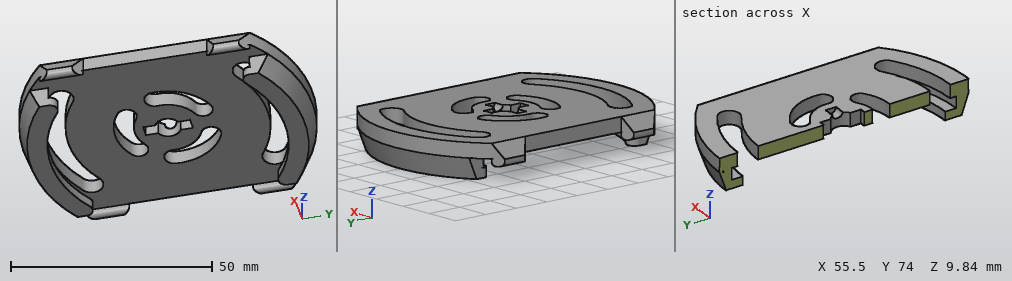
import math

import cadquery as cq

PLATE_RADIUS = 37.0
PLATE_THICKNESS = 4.0
PLATE_HALF_WIDTH = 25.5

TAB_REACH = 27.75
TAB_DROP = 2.0
TAB_INNER_Y = 15.75
TAB_MITRE_LENGTH = 2.2
TAB_THICKNESS = TAB_REACH - PLATE_HALF_WIDTH

WALL_HEIGHT = 5.84
WALL_HALF_WIDTH = 21.1
WALL_BOTTOM_RADIUS = 35.0
WALL_INNER_RADIUS = 33.2
LIP_RADIUS = 30.0
LIP_HEIGHT = 2.6
LIP_CORNER_RADIUS = 2.0

SLOT_HALF_ANGLE = 35.0
END_SLOT_PATH_RADIUS = 28.5
END_SLOT_WIDTH = 6.0
END_SLOT_DIRECTIONS = (90.0, 270.0)
INNER_SLOT_PATH_RADIUS = 11.0
INNER_SLOT_WIDTH = 5.0
INNER_SLOT_DIRECTIONS = (30.0, 150.0, 270.0)

CENTRE_HOLE_RADIUS = 3.25
KEY_LENGTH = 12.0
KEY_WIDTH = 3.0


def polar(radius, angle):
    """Point at a radius and an angle in degrees from +X."""
    return (radius * math.cos(math.radians(angle)), radius * math.sin(math.radians(angle)))


def disc(radius, bottom, height):
    return cq.Workplane("XY").workplane(offset=bottom).circle(radius).extrude(height)


def make_tab():
    """Tab blank at the +X, +Y corner: a sloped, round-ended profile, mitred at its inner end."""
    round_radius = TAB_THICKNESS / 2
    round_z = round_radius - TAB_DROP
    profile = (
        cq.Workplane("XZ", origin=(0, PLATE_RADIUS, 0))
        .moveTo(PLATE_HALF_WIDTH, PLATE_THICKNESS)
        .lineTo(TAB_REACH, 0)
        .lineTo(TAB_REACH, round_z)
        .threePointArc((TAB_REACH - round_radius, -TAB_DROP), (PLATE_HALF_WIDTH, round_z))
        .close()
        .extrude(PLATE_RADIUS - TAB_INNER_Y)
    )
    mitre = (
        cq.Workplane("XY", origin=(0, 0, -TAB_DROP))
        .moveTo(PLATE_HALF_WIDTH, TAB_INNER_Y)
        .lineTo(TAB_REACH, TAB_INNER_Y)
        .lineTo(TAB_REACH, TAB_INNER_Y + TAB_MITRE_LENGTH)
        .close()
        .extrude(PLATE_THICKNESS + TAB_DROP)
    )
    return profile.cut(mitre)


def make_plate():
    """Flat-sided plate with its four tabs, all trimmed by the same round rim."""
    blank = cq.Workplane("XY").box(
        2 * PLATE_HALF_WIDTH, 2 * PLATE_RADIUS, PLATE_THICKNESS, centered=(True, True, False)
    )
    tab = make_tab()
    tab_pair = tab.union(tab.mirror("YZ"))
    blank = blank.union(tab_pair).union(tab_pair.mirror("XZ"))
    return blank.intersect(disc(PLATE_RADIUS, -TAB_DROP, PLATE_THICKNESS + TAB_DROP))


def make_wall():
    """Rim wall at the +Y end, tapered outside, with a retaining lip inside at its foot."""
    cone = cq.Workplane("XY").circle(PLATE_RADIUS)
    cone = cone.workplane(offset=-WALL_HEIGHT).circle(WALL_BOTTOM_RADIUS).loft(combine=True)
    band = cq.Workplane("XY", origin=(0, PLATE_RADIUS / 2, -WALL_HEIGHT)).box(
        2 * WALL_HALF_WIDTH, PLATE_RADIUS, WALL_HEIGHT, centered=(True, True, False)
    )
    wall = cone.intersect(band).cut(disc(LIP_RADIUS, -WALL_HEIGHT, WALL_HEIGHT))
    lip_corner_y = math.sqrt(LIP_RADIUS**2 - WALL_HALF_WIDTH**2)
    for side in (-1, 1):
        corner = cq.selectors.NearestToPointSelector(
            (side * WALL_HALF_WIDTH, lip_corner_y, -WALL_HEIGHT / 2)
        )
        wall = wall.edges("|Z").edges(corner).fillet(LIP_CORNER_RADIUS)
    recess = disc(WALL_INNER_RADIUS, LIP_HEIGHT - WALL_HEIGHT, WALL_HEIGHT - LIP_HEIGHT)
    return wall.cut(recess)


def make_curved_slot(path_radius, width, direction):
    """Round-ended slot through the plate, centred on the given direction."""
    start = direction - SLOT_HALF_ANGLE
    end = direction + SLOT_HALF_ANGLE
    inner = path_radius - width / 2
    outer = path_radius + width / 2
    cap_angle = math.degrees(width / 2 / path_radius)
    return (
        cq.Workplane("XY")
        .moveTo(*polar(inner, start))
        .threePointArc(polar(inner, direction), polar(inner, end))
        .threePointArc(polar(path_radius, end + cap_angle), polar(outer, end))
        .threePointArc(polar(outer, direction), polar(outer, start))
        .threePointArc(polar(path_radius, start - cap_angle), polar(inner, start))
        .close()
        .extrude(PLATE_THICKNESS)
    )


def make_centre_cut():
    hole = disc(CENTRE_HOLE_RADIUS, 0, PLATE_THICKNESS)
    key = cq.Workplane("XY").rect(KEY_WIDTH, KEY_LENGTH).extrude(PLATE_THICKNESS)
    groove = (
        cq.Workplane("YZ", origin=(-KEY_LENGTH / 2, 0, PLATE_THICKNESS))
        .circle(KEY_WIDTH / 2)
        .extrude(KEY_LENGTH)
    )
    return hole.union(key).union(groove)


wall = make_wall()
result = make_plate().union(wall).union(wall.mirror("XZ"))

for direction in END_SLOT_DIRECTIONS:
    result = result.cut(make_curved_slot(END_SLOT_PATH_RADIUS, END_SLOT_WIDTH, direction))
for direction in INNER_SLOT_DIRECTIONS:
    result = result.cut(make_curved_slot(INNER_SLOT_PATH_RADIUS, INNER_SLOT_WIDTH, direction))

result = result.cut(make_centre_cut())